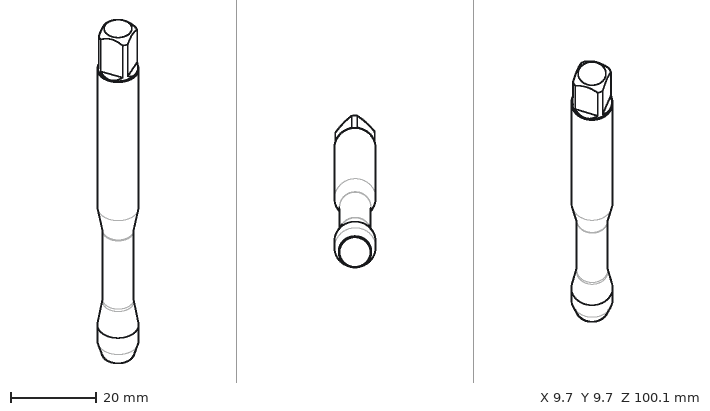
import cadquery as cq
import math

total_length = 100.1
shank_diameter = 9.7
neck_diameter = 7.3

thread_diameter = shank_diameter
thread_top = 8.9
lead_top = 3.9
lead_tip_diameter = 7.7
tip_face_diameter = 7.2
tip_chamfer_width = (lead_tip_diameter - tip_face_diameter) / 2

neck_bottom = 16.5
neck_top = 38.0
neck_bottom_fillet = 4.4
neck_top_fillet = 2.0
shank_bottom = 45.1

square_width = 7.4
square_corner_diameter = 9.3
shank_top = 87.7
end_face_diameter = 6.5
shoulder_angle = 45.0

shank_radius = shank_diameter / 2
corner_radius = square_corner_diameter / 2
end_face_radius = end_face_diameter / 2
shoulder_chamfer = shank_radius - corner_radius
end_chamfer = corner_radius - end_face_radius


def revolve_profile(points):
    """Revolve a closed outline of (radius, height) points about Z."""
    return cq.Workplane("XZ").polyline(points).close().revolve(360, (0, 0), (0, 1))


def make_threaded_head():
    """Plain envelope of the thread with its tapered lead and tip chamfer."""
    return revolve_profile([
        (0, 0),
        (tip_face_diameter / 2, 0),
        (lead_tip_diameter / 2, tip_chamfer_width),
        (thread_diameter / 2, lead_top),
        (thread_diameter / 2, thread_top),
        (0, thread_top),
    ])


def make_flat_cutter():
    """Material removed on the +X side to leave one flat and its sloped shoulder."""
    flat = square_width / 2
    clearance = shank_diameter
    shoulder_rise = (shank_radius - flat) * math.tan(math.radians(shoulder_angle))
    flat_bottom = shank_top + shoulder_rise
    outer_drop = clearance * math.tan(math.radians(shoulder_angle))
    return (
        cq.Workplane("XZ")
        .polyline([
            (flat, total_length + clearance),
            (flat, flat_bottom),
            (flat + clearance, flat_bottom - outer_drop),
            (flat + clearance, total_length + clearance),
        ])
        .close()
        .extrude(clearance, both=True)
    )


def fillet_circle_at(body, height, radius):
    """Round the circular edge centred on the axis at the given height."""
    reach = 0.1
    around_center = cq.selectors.BoxSelector(
        (-reach, -reach, height - reach),
        (reach, reach, height + reach),
    )
    return body.edges(around_center).fillet(radius)


def make_shank():
    """Neck, round shank and driving square."""
    body = revolve_profile([
        (0, thread_top),
        (thread_diameter / 2, thread_top),
        (neck_diameter / 2, neck_bottom),
        (neck_diameter / 2, neck_top),
        (shank_radius, shank_bottom),
        (shank_radius, shank_top),
        (corner_radius, shank_top + shoulder_chamfer),
        (corner_radius, total_length - end_chamfer),
        (end_face_radius, total_length),
        (0, total_length),
    ])
    body = fillet_circle_at(body, neck_bottom, neck_bottom_fillet)
    body = fillet_circle_at(body, neck_top, neck_top_fillet)
    flat_cutter = make_flat_cutter()
    for side in range(4):
        body = body.cut(flat_cutter.rotate((0, 0, 0), (0, 0, 1), 90 * side))
    return body


threaded_head = make_threaded_head()
shank = make_shank()
result = cq.Compound.makeCompound([threaded_head.val(), shank.val()])